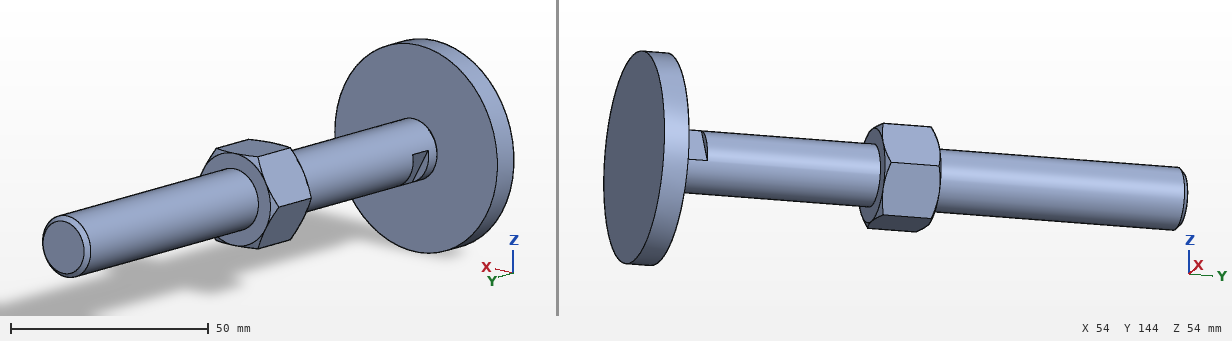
import cadquery as cq
import math

total_length = 144.0
plate_diameter = 54.0
plate_thickness = 6.5

rod_diameter = 16.0
rod_chamfer = 1.2
rod_radius = rod_diameter / 2
rod_length = total_length - plate_thickness

flats_width = 12.0
flats_height = 6.0
flats_start = 11.0
flats_tilt = 30.0

nut_across_flats = 24.0
nut_height = 14.8
nut_start = 62.6
nut_chamfer_angle = 30.0
nut_sides = 6
nut_across_corners = nut_across_flats / math.cos(math.pi / nut_sides)


def plane_at(y):
    """Plane across the axis whose normal is +Y, with local x along X and local y along -Z."""
    return cq.Plane(origin=(0, y, 0), xDir=(1, 0, 0), normal=(0, 1, 0))


def make_plate():
    return cq.Workplane(plane_at(0)).circle(plate_diameter / 2).extrude(plate_thickness)


def make_wrench_flats_cutter():
    """Disc-shaped band around the rod, less the slab that remains between the flats."""
    band = cq.Workplane(plane_at(flats_start)).circle(rod_diameter).extrude(flats_height)
    slab = (
        cq.Workplane(plane_at(flats_start))
        .transformed(rotate=(0, 0, -flats_tilt))
        .rect(flats_width, 4 * rod_diameter)
        .extrude(flats_height)
    )
    return band.cut(slab)


def make_rod():
    rod = cq.Workplane(plane_at(plate_thickness)).circle(rod_radius).extrude(rod_length)
    rod = rod.faces("<Y or >Y").chamfer(rod_chamfer)
    return rod.cut(make_wrench_flats_cutter())


def make_nut():
    """Hexagon with two flats facing +Z and -Z, its corners turned conical at both ends."""
    hexagon = (
        cq.Workplane(plane_at(nut_start))
        .polygon(nut_sides, nut_across_corners)
        .extrude(nut_height)
    )
    face_radius = nut_across_flats / 2
    corner_radius = nut_across_corners / 2
    corner_drop = (corner_radius - face_radius) * math.tan(math.radians(nut_chamfer_angle))
    nut_end = nut_start + nut_height
    turned_blank = (
        cq.Workplane("XY")
        .moveTo(0, nut_start)
        .lineTo(face_radius, nut_start)
        .lineTo(corner_radius, nut_start + corner_drop)
        .lineTo(corner_radius, nut_end - corner_drop)
        .lineTo(face_radius, nut_end)
        .lineTo(0, nut_end)
        .close()
        .revolve(360, (0, 0, 0), (0, 1, 0))
    )
    bore = cq.Workplane(plane_at(nut_start)).circle(rod_radius).extrude(nut_height)
    return hexagon.intersect(turned_blank).cut(bore)


plate = make_plate()
rod = make_rod()
nut = make_nut()

result = cq.Compound.makeCompound([plate.val(), rod.val(), nut.val()])